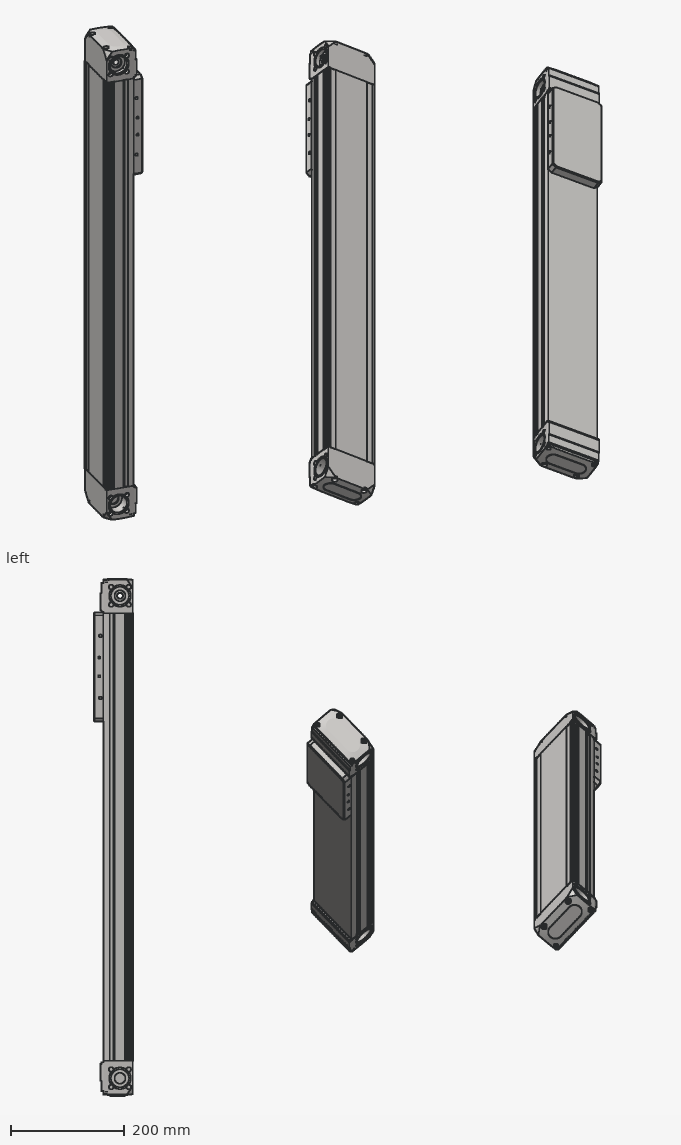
import cadquery as cq
import math


width = 102.0
total_depth = 70.0
total_length = 911.0
half_width = width / 2

head_front = 1.0
head_back = 53.0
head_height = 61.0
cap_half_span = 25.5
cap_radius = 13.0
cap_y = 28.0
cap_slope = 7.0
foot_height = 1.4
slope_reach = 46.0

corner_leg = 19.0
corner_inner_leg = 14.0
corner_first_depth = 2.0

back_plate_height = 4.0
back_plate_inset = 1.0
back_plate_start = 3.0
back_plate_length = 51.0
back_rib_height = 2.0
back_rib_start = 5.5
back_rib_length = 30.0

end_screw_depth = 14.0
end_counterbore_depth = 6.0
front_screw_diameter = 10.0
front_screw_hole = 6.0
front_screw_x = 32.0
front_screw_y = 7.0
back_screw_diameter = 8.0
back_screw_hole = 4.9
back_screw_x = 46.0
back_screw_y = 47.0

pulley_y = 24.0
pulley_z = 31.0
pulley_diameter = 32.0
flange_diameter = 38.0
flange_depth = 1.0
side_screw_diameter = 8.0
side_screw_offset = 15.5
side_screw_depth = 9.0

recess_diameter = 19.0
recess_depth = 3.0
idler_setback = 10.0
idler_bore = 10.0
drive_setback = 24.0

profile_length = total_length - foot_height - 2 * head_height
front_groove_inner_x = 34.2
front_groove_outer_x = 46.0
front_groove_depth = 1.0
front_corner_chamfer = 1.0
back_round_start_y = 43.0
back_round_inset = 2.0
upper_slot_low_y = 35.5
upper_slot_high_y = 42.0
upper_slot_depth = 3.0
slot_lip = 3.0
slot_lip_depth = 1.0
lower_slot_steps = [(3.0, 15.5, 1.4), (5.0, 13.0, 3.0), (7.0, 10.0, 5.5)]

carriage_width = 99.0
carriage_length = 192.0
carriage_top_overlap = 2.0
carriage_bevel_x = 7.0
carriage_bevel_z = 5.5
carriage_edge_chamfer = 2.0
mount_hole_diameter = 5.0
mount_hole_z = 55.0
mount_hole_y = 58.0
port_hole_diameter = 4.0
port_hole_z = 16.0
port_hole_y = 60.0
carriage_hole_depth = 7.0

profile_bottom = head_height
profile_top = profile_bottom + profile_length


def box(x_size, y_low, y_high, z_low, z_high):
    """Box centred on X = 0."""
    return cq.Workplane("XY").box(
        x_size, y_high - y_low, z_high - z_low, centered=(True, False, False)
    ).translate((0, y_low, z_low))


def x_cylinder(diameter, x_low, x_high, y, z):
    """Cylinder along X."""
    return (
        cq.Workplane("YZ", origin=(x_low, y, z)).circle(diameter / 2).extrude(x_high - x_low)
    )


def side_holes(diameter, depth, y, z, face_x=half_width):
    """Pair of equal blind holes, one in each of the side faces at X = -face_x and face_x."""
    left = x_cylinder(diameter, -face_x, depth - face_x, y, z)
    right = x_cylinder(diameter, face_x - depth, face_x, y, z)
    return left.union(right)


def cap_envelope():
    """Space under the flat stadium cap and the slope that falls away around it."""
    fall = (slope_reach - cap_radius) * math.tan(math.radians(cap_slope))
    shoulder = head_height - fall
    half_section = [
        (0, 0), (slope_reach, 0), (slope_reach, shoulder), (cap_radius, head_height), (0, head_height)
    ]
    full_section = half_section[1:4] + [(-y, z) for y, z in reversed(half_section[1:4])]
    envelope = (
        cq.Workplane("YZ", origin=(-cap_half_span, cap_y, 0))
        .polyline(full_section).close().extrude(2 * cap_half_span)
    )
    for x in (-cap_half_span, cap_half_span):
        end = (
            cq.Workplane("XZ", origin=(x, cap_y, 0))
            .polyline(half_section).close().revolve(360, (0, 0, 0), (0, 1, 0))
        )
        envelope = envelope.union(end)
    return envelope


def corner_cutter(side):
    """Wedge that makes the two bevels on one outer front corner; side is -1 or 1."""
    first = corner_leg / math.sqrt(2)
    second = corner_inner_leg / math.sqrt(2)
    plane = cq.Plane(
        origin=(side * half_width, head_front, head_height), xDir=(-side, 0, -1), normal=(side, 0, -1)
    )
    inward = plane.yDir.y
    outside = -9.0
    section = [
        (first, 0),
        (second, inward * corner_first_depth),
        (outside, inward * (corner_first_depth + second - outside)),
        (outside, inward * outside),
        (first, inward * outside),
    ]
    return cq.Workplane(plane).polyline(section).close().extrude(2 * corner_leg, both=True)


def head_end_screws():
    """Two counterbored screw holes near the front of the end face and two near its back."""
    rows = [
        (front_screw_x, front_screw_y, front_screw_diameter, front_screw_hole),
        (back_screw_x, back_screw_y, back_screw_diameter, back_screw_hole),
    ]
    screws = cq.Workplane("XY")
    for x, y, head_diameter, hole_diameter in rows:
        for side in (-1, 1):
            place = cq.Workplane("XY", origin=(side * x, y, head_height))
            screws = screws.add(place.circle(head_diameter / 2).extrude(-end_counterbore_depth))
            screws = screws.add(place.circle(hole_diameter / 2).extrude(-end_screw_depth))
    return screws.combine()


def pulley_seat():
    """Through bore, shallow flange recesses and the screw holes around them."""
    seat = x_cylinder(pulley_diameter, -half_width, half_width, pulley_y, pulley_z)
    seat = seat.union(side_holes(flange_diameter, flange_depth, pulley_y, pulley_z))
    for y_side in (-1, 1):
        for z_side in (-1, 1):
            y = pulley_y + y_side * side_screw_offset
            z = pulley_z + z_side * side_screw_offset
            seat = seat.union(side_holes(side_screw_diameter, side_screw_depth, y, z))
    return seat


def make_head():
    """Head standing on Z = 0 with its end cap upwards."""
    head = box(width, head_front, head_back, 0, head_height).intersect(cap_envelope())
    plate_top = head_back + back_plate_height
    top_half_width = half_width - back_plate_inset
    plate = (
        cq.Workplane("XY", origin=(0, 0, back_plate_start))
        .polyline([
            (-half_width, head_back), (half_width, head_back),
            (top_half_width, plate_top), (-top_half_width, plate_top),
        ])
        .close().extrude(back_plate_length)
    )
    rib = box(
        2 * top_half_width, plate_top, plate_top + back_rib_height,
        back_rib_start, back_rib_start + back_rib_length,
    )
    head = head.union(plate).union(rib)
    for side in (-1, 1):
        head = head.cut(corner_cutter(side))
    return head.cut(head_end_screws()).cut(pulley_seat())


def make_upper_head():
    """Head standing on the upper end of the profile."""
    return make_head().translate((0, 0, profile_top))


def make_lower_head():
    """Mirrored head with a raised cap underneath."""
    foot = (
        cq.Workplane("XY", origin=(0, cap_y, 0))
        .slot2D(2 * (cap_half_span + cap_radius), 2 * cap_radius).extrude(-foot_height)
    )
    return make_head().mirror("XY").translate((0, 0, head_height)).union(foot)


def make_pulley(setback, z):
    """Pulley with a shallow recess in each end, set back from the side faces of its head."""
    end_x = half_width - setback
    pulley = x_cylinder(pulley_diameter, -end_x, end_x, pulley_y, z)
    return pulley.cut(side_holes(recess_diameter, recess_depth, pulley_y, z, end_x))


def make_idler():
    """Upper pulley, bored right through."""
    z = profile_top + pulley_z
    bore = x_cylinder(idler_bore, -half_width, half_width, pulley_y, z)
    return make_pulley(idler_setback, z).cut(bore)


def make_drive_pulley():
    """Lower pulley, without a bore."""
    return make_pulley(drive_setback, profile_bottom - pulley_z)


def make_profile():
    """Extrusion with rounded back sides, side slots and shallow front grooves."""
    front_x = half_width - front_corner_chamfer
    back_x = half_width - back_round_inset
    round_mid_y = (back_round_start_y + head_back) / 2
    round_mid_x = half_width - back_round_inset / 4
    profile = (
        cq.Workplane("XY", origin=(0, 0, profile_bottom))
        .moveTo(-front_x, 0)
        .lineTo(front_x, 0)
        .lineTo(half_width, front_corner_chamfer)
        .lineTo(half_width, back_round_start_y)
        .threePointArc((round_mid_x, round_mid_y), (back_x, head_back))
        .lineTo(-back_x, head_back)
        .threePointArc((-round_mid_x, round_mid_y), (-half_width, back_round_start_y))
        .lineTo(-half_width, front_corner_chamfer)
        .close().extrude(profile_length)
    )
    slots = lower_slot_steps + [
        (upper_slot_low_y, upper_slot_high_y, upper_slot_depth),
        (upper_slot_low_y - slot_lip, upper_slot_high_y, slot_lip_depth),
    ]
    groove_width = front_groove_outer_x - front_groove_inner_x
    groove_x = (front_groove_outer_x + front_groove_inner_x) / 2
    for side in (-1, 1):
        for low_y, high_y, depth in slots:
            slot = box(2 * depth, low_y, high_y, profile_bottom, profile_top)
            profile = profile.cut(slot.translate((side * half_width, 0, 0)))
        groove = box(groove_width, 0, head_front + front_groove_depth, profile_bottom, profile_top)
        profile = profile.cut(groove.translate((side * groove_x, 0, 0)))
    middle = box(2 * front_groove_inner_x, 0, head_front, profile_bottom, profile_top)
    return profile.cut(middle)


def make_carriage():
    """Plate on the back of the profile with bevelled corners and holes in its sides."""
    top = profile_top + carriage_top_overlap
    middle = top - carriage_length / 2
    carriage = box(carriage_width, head_back, total_depth, top - carriage_length, top)
    for x_side in (-1, 1):
        for z_side in (-1, 1):
            x = x_side * carriage_width / 2
            z = middle + z_side * carriage_length / 2
            bevel = (
                cq.Workplane("XZ", origin=(0, total_depth, 0))
                .polyline([(x, z), (x - x_side * carriage_bevel_x, z), (x, z - z_side * carriage_bevel_z)])
                .close().extrude(total_depth - head_back)
            )
            carriage = carriage.cut(bevel)
    carriage = carriage.faces(">Y").edges().chamfer(carriage_edge_chamfer)
    holes = [
        (mount_hole_diameter, mount_hole_y, mount_hole_z),
        (port_hole_diameter, port_hole_y, port_hole_z),
    ]
    for diameter, y, offset in holes:
        for z in (middle - offset, middle + offset):
            carriage = carriage.cut(side_holes(diameter, carriage_hole_depth, y, z, carriage_width / 2))
    return carriage


profile = make_profile()
upper_head = make_upper_head()
lower_head = make_lower_head()
idler = make_idler()
drive_pulley = make_drive_pulley()
carriage = make_carriage()

result = cq.Compound.makeCompound([
    profile.val(),
    upper_head.val(),
    lower_head.val(),
    idler.val(),
    drive_pulley.val(),
    carriage.val(),
])